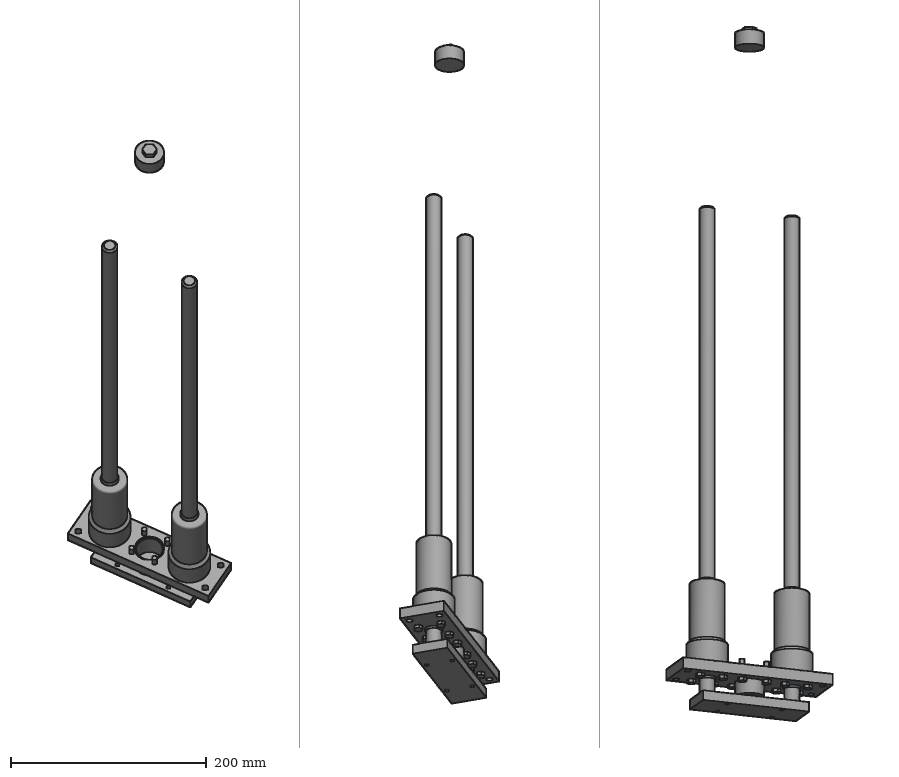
import cadquery as cq
TOTAL_HEIGHT = 726.0
STATION_OFFSET = 46.5
STATIONS = (-STATION_OFFSET, STATION_OFFSET)

BASE_LENGTH = 116.0
BASE_WIDTH = 38.0
BASE_THICKNESS = 10.0
BASE_HOLE_SPACING_X = 59.5
BASE_HOLE_SPACING_Y = 27.5
BASE_HOLE_DIAMETER = 4.15
ROD_DIAMETER = 16.0
ROD_TOP = 530.5
ROD_CHAMFER = 2.0

PLATE_LENGTH = 164.0
PLATE_WIDTH = 48.0
PLATE_THICKNESS = 11.5
PLATE_BOTTOM = 30.0
PLATE_TOP = PLATE_BOTTOM + PLATE_THICKNESS
CORNER_HOLE_SPACING_X = 148.0
CORNER_HOLE_SPACING_Y = 33.0
CORNER_HOLE_DIAMETER = 6.5

COLLAR_DIAMETER = 43.0
COLLAR_TOP = 64.5
BARREL_DIAMETER = 36.0
BARREL_START = 68.0
BARREL_TOP = 131.0
BARREL_FILLET = 2.0
BUSHING_DIAMETER = 19.0
BUSHING_TOP = 134.0
LOWER_LIP_HEIGHT = 2.0
SLEEVE_BORE_DIAMETER = 17.0

HEAD_ACROSS_FLATS = 8.0
HEAD_HEIGHT = 3.5
SLEEVE_SCREW_SPACING = 25.0
CUP_SCREW_SPACING = 27.0
CUP_SCREW_DIAMETER = 5.2
CUP_SCREW_TOP = 49.0

CUP_DIAMETER = 30.0
CUP_BOTTOM = 14.5
CUP_BORE_DIAMETER = 27.0
CUP_FLOOR_THICKNESS = 2.0
CUP_RIM_DEPTH = 1.5
SPIGOT_DIAMETER = 16.0

STOP_DIAMETER = 30.0
STOP_BOTTOM = 705.5
HEX_ACROSS_FLATS = 13.0
HEX_HEIGHT = 5.0
STOP_SHOULDER = TOTAL_HEIGHT - HEX_HEIGHT


def cylinder(diameter, bottom, top, x=0.0, y=0.0):
    """Upright cylinder between two heights."""
    return cq.Workplane("XY", origin=(x, y, bottom)).circle(diameter / 2).extrude(top - bottom)


def hexagon(across_flats, bottom, top, x=0.0, y=0.0):
    """Upright hexagonal prism between two heights, with corners toward +Y and -Y."""
    outline = cq.Workplane("XY", origin=(x, y, bottom)).polygon(6, across_flats, circumscribed=True)
    return outline.extrude(top - bottom)


def drilled_plate(length, width, thickness, bottom, spacing_x, spacing_y, hole_diameter):
    """Rectangular plate with a through hole near each corner."""
    plate = cq.Workplane("XY", origin=(0, 0, bottom)).rect(length, width).extrude(thickness)
    corners = plate.faces(">Z").workplane().rect(spacing_x, spacing_y, forConstruction=True).vertices()
    return corners.hole(hole_diameter)


def make_base_frame():
    frame = drilled_plate(
        BASE_LENGTH, BASE_WIDTH, BASE_THICKNESS, 0,
        BASE_HOLE_SPACING_X, BASE_HOLE_SPACING_Y, BASE_HOLE_DIAMETER,
    )
    for x in STATIONS:
        rod = cylinder(ROD_DIAMETER, 0, ROD_TOP, x).faces(">Z").chamfer(ROD_CHAMFER)
        frame = frame.union(rod)
    return frame


def make_sleeve():
    """Sleeve about the Z axis, reaching through the guide plate."""
    bore_radius = SLEEVE_BORE_DIAMETER / 2
    bushing_radius = BUSHING_DIAMETER / 2
    collar_radius = COLLAR_DIAMETER / 2
    barrel_radius = BARREL_DIAMETER / 2
    fillet_mid = BARREL_FILLET * (1 - 0.5 ** 0.5)
    return (
        cq.Workplane("XZ")
        .moveTo(bore_radius, PLATE_BOTTOM - LOWER_LIP_HEIGHT)
        .lineTo(bushing_radius, PLATE_BOTTOM)
        .lineTo(collar_radius, PLATE_BOTTOM)
        .lineTo(collar_radius, COLLAR_TOP)
        .lineTo(barrel_radius, BARREL_START)
        .lineTo(barrel_radius, BARREL_TOP - BARREL_FILLET)
        .threePointArc(
            (barrel_radius - fillet_mid, BARREL_TOP - fillet_mid),
            (barrel_radius - BARREL_FILLET, BARREL_TOP),
        )
        .lineTo(bushing_radius, BARREL_TOP)
        .lineTo(bore_radius, BUSHING_TOP)
        .close()
        .revolve(360, (0, 0), (0, 1))
    )


def add_screw_heads(plate, spacing, x=0.0):
    """Four hexagonal heads below the plate, in a square centred at the given X."""
    offset = spacing / 2
    for head_x in (x - offset, x + offset):
        for head_y in (-offset, offset):
            head = hexagon(HEAD_ACROSS_FLATS, PLATE_BOTTOM - HEAD_HEIGHT, PLATE_BOTTOM, head_x, head_y)
            plate = plate.union(head)
    return plate


def add_cup(plate):
    """Cup and spigot below the plate, with a bore and a stepped rim opening through its top."""
    cup = cylinder(CUP_DIAMETER, CUP_BOTTOM, PLATE_BOTTOM)
    spigot = cylinder(SPIGOT_DIAMETER, BASE_THICKNESS, CUP_BOTTOM)
    bore = cylinder(CUP_BORE_DIAMETER, CUP_BOTTOM + CUP_FLOOR_THICKNESS, PLATE_TOP)
    rim = cylinder(CUP_DIAMETER, PLATE_TOP - CUP_RIM_DEPTH, PLATE_TOP)
    return plate.union(cup).union(spigot).cut(bore).cut(rim)


def add_cup_screw_ends(plate):
    """Ends of the four cup screws, standing above the plate."""
    offset = CUP_SCREW_SPACING / 2
    for x in (-offset, offset):
        for y in (-offset, offset):
            plate = plate.union(cylinder(CUP_SCREW_DIAMETER, PLATE_TOP, CUP_SCREW_TOP, x, y))
    return plate


def make_guide():
    guide = drilled_plate(
        PLATE_LENGTH, PLATE_WIDTH, PLATE_THICKNESS, PLATE_BOTTOM,
        CORNER_HOLE_SPACING_X, CORNER_HOLE_SPACING_Y, CORNER_HOLE_DIAMETER,
    )
    sleeve = make_sleeve()
    for x in STATIONS:
        guide = guide.cut(cylinder(SLEEVE_BORE_DIAMETER, PLATE_BOTTOM, PLATE_TOP, x))
        guide = guide.union(sleeve.translate((x, 0, 0)))
        guide = add_screw_heads(guide, SLEEVE_SCREW_SPACING, x)
    guide = add_cup(guide)
    guide = add_screw_heads(guide, CUP_SCREW_SPACING)
    return add_cup_screw_ends(guide)


def make_end_stop():
    disc = cylinder(STOP_DIAMETER, STOP_BOTTOM, STOP_SHOULDER)
    return disc.union(hexagon(HEX_ACROSS_FLATS, STOP_SHOULDER, TOTAL_HEIGHT))


base_frame = make_base_frame()
guide = make_guide()
end_stop = make_end_stop()

result = cq.Compound.makeCompound([base_frame.val(), guide.val(), end_stop.val()])